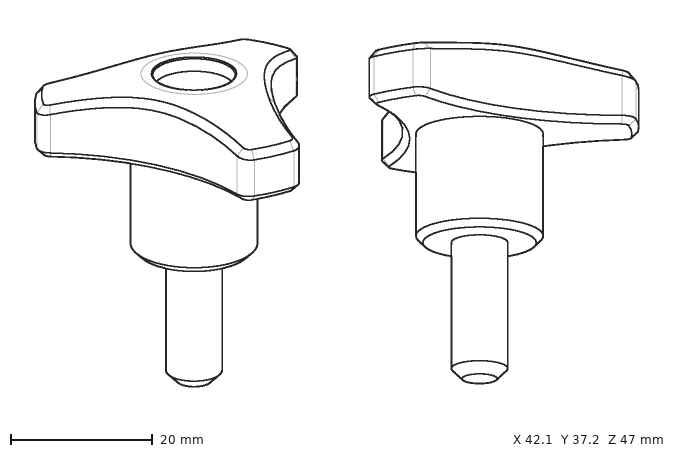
import cadquery as cq
import math

total_height = 47.0
head_bottom = 36.0
hub_bottom = 20.0

arm_count = 3
tip_radius = 22.5
waist_radius = 10.9
side_arc_radius = 33.65
corner_fillet = 2.0
head_chamfer = 1.0

flat_diameter = 15.05
cone_drop = 3.5
recess_floor_diameter = 11.3
recess_mouth_diameter = 11.65
recess_depth = 2.0
recess_rim_chamfer = 0.2

hub_diameter = 18.0
hub_chamfer = 1.0
stud_diameter = 8.0
stud_chamfer = 1.5


def make_head():
    """Conical disc with three concave sides cut away and broken edges."""
    head = (
        cq.Workplane("XZ")
        .moveTo(0, head_bottom)
        .lineTo(tip_radius, head_bottom)
        .lineTo(tip_radius, total_height - cone_drop)
        .lineTo(flat_diameter / 2, total_height)
        .lineTo(0, total_height)
        .close()
        .revolve(360, (0, 0), (0, 1))
    )
    arc_center_distance = waist_radius + side_arc_radius
    for index in range(arm_count):
        angle = math.radians(-90 + index * 360 / arm_count)
        x = arc_center_distance * math.cos(angle)
        y = arc_center_distance * math.sin(angle)
        cutter = (
            cq.Workplane("XY", origin=(x, y, head_bottom))
            .circle(side_arc_radius)
            .extrude(total_height - head_bottom)
        )
        head = head.cut(cutter)

    head = head.edges("|Z").fillet(corner_fillet)
    flat_rim = cq.selectors.RadiusNthSelector(0)
    top_outline = head.faces("%CONE").edges().objects
    flat_edges = head.faces(">Z").edges(flat_rim).objects
    outline = [edge for edge in top_outline if not any(edge.isSame(rim) for rim in flat_edges)]
    outline += head.faces("<Z").edges().objects
    return head.newObject(outline).chamfer(head_chamfer)


def make_shaft(diameter, bottom, top, chamfer):
    """Upright cylinder with a chamfered lower rim."""
    return (
        cq.Workplane("XY", origin=(0, 0, bottom))
        .circle(diameter / 2)
        .extrude(top - bottom)
        .faces("<Z")
        .chamfer(chamfer)
    )


def make_recess():
    """Round tapered pocket volume that widens in a small chamfer at the rim."""
    rim_radius = recess_mouth_diameter / 2 + recess_rim_chamfer
    return (
        cq.Workplane("XZ")
        .moveTo(0, total_height - recess_depth)
        .lineTo(recess_floor_diameter / 2, total_height - recess_depth)
        .lineTo(recess_mouth_diameter / 2, total_height - recess_rim_chamfer)
        .lineTo(rim_radius, total_height)
        .lineTo(0, total_height)
        .close()
        .revolve(360, (0, 0), (0, 1))
    )


hub = make_shaft(hub_diameter, hub_bottom, head_bottom, hub_chamfer)
stud = make_shaft(stud_diameter, 0, hub_bottom, stud_chamfer)
result = make_head().union(hub).union(stud).cut(make_recess())